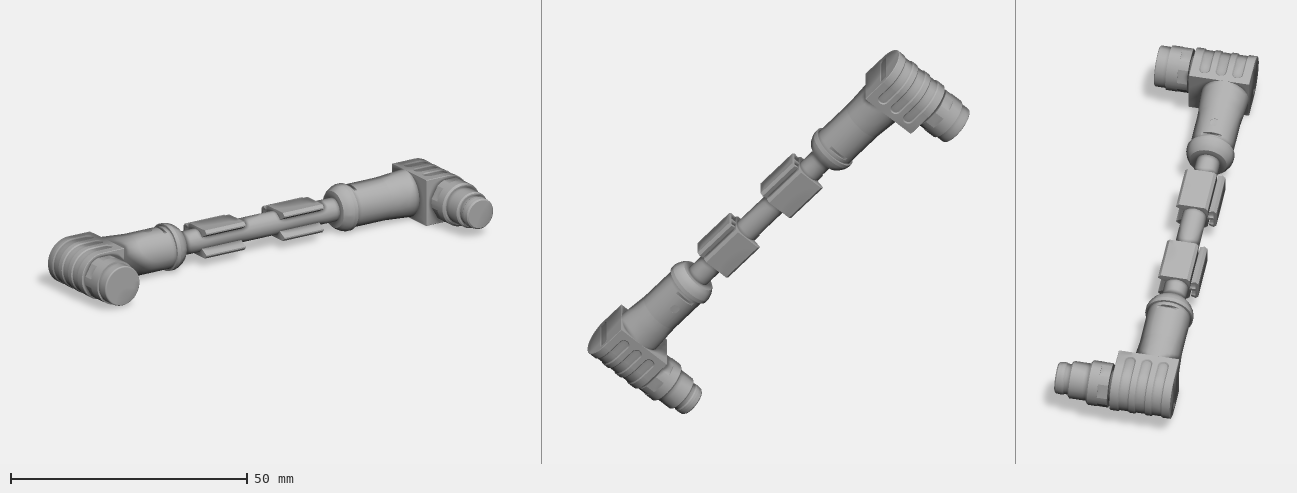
import cadquery as cq

overall_length = 98.6
cable_dia = 5.1
body_height = 10.3

body_radius = body_height / 2
half_length = overall_length / 2
axis_x = 5.2
plug_y = -(half_length - body_radius)

body_width = 13.0
body_depth = 10.7
body_chamfer = 0.1
body_inner_y = -(half_length - body_depth)

groove_count = 3
groove_pitch = 3.55
groove_first_x = 3.0
groove_width = 2.4
groove_depth = 0.25
groove_wall_angle = 45
groove_end_y = plug_y + 4.3

recess_width = 1.8
recess_height = 8.2
recess_depth = 0.3
recess_corner = 0.6
recess_y = plug_y

handle_dia = 9.3
handle_root_dia = body_height
collar_dia = body_height
collar_end_dia = 8.0
collar_bulge = 0.7
cone_end_y = -32.0
collar_start_y = -23.1
collar_edge_y = -22.2
handle_end_y = -20.0

notch_width = 0.7
notch_floor_z = 4.0
notch_y = -24.3

mark_dia = 2.0
mark_depth = 0.1
mark_y = -27.4

neck_dia = 6.5
nut_dia = 9.6
nut_across_flats = 9.1
nut_start_x = 13.6
nut_flats_end_x = 15.8
nut_end_x = 18.2
flat_count = 6

sleeve_dia = 8.8
sleeve_end_x = 20.8
sleeve_fillet = 0.3

nut_chamfer = 0.4
plug_base_dia = 8.0
plug_base_end_x = 22.3
plug_base_chamfer = 0.3
plug_rib_dia = 6.9
plug_tip_dia = 6.7
plug_end_x = 25.2
plug_rib_start_x = 23.2
plug_rib_width = 0.6
plug_rib_slope = 0.3
plug_tip_chamfer = 0.3

clip_length = 10.1
clip_gap = 9.9
clip_half_height = 3.2
clip_bevel = 0.6
clip_left_x = 0.5
clip_right_x = 9.2
clip_hook_x = 2.1
clip_hook_drop = 0.4
clip_hook_thickness = 0.4
clip_stem_half_height = 0.3
clip_plate_x = 2.4
clip_lip_z = 2.3
clip_mouth_x = 7.1
clip_mouth_z = 1.1


def plug_turned(points):
    """Solid turned about the plug axis; points are (x, radius)."""
    outline = [(points[0][0], 0)] + points + [(points[-1][0], 0)]
    return (
        cq.Workplane("XY", origin=(0, plug_y, 0))
        .polyline(outline)
        .close()
        .revolve(360, (0, 0), (1, 0))
    )


def make_body():
    body = (
        cq.Workplane("YZ")
        .moveTo(body_inner_y, body_radius)
        .lineTo(plug_y, body_radius)
        .threePointArc((-half_length, 0), (plug_y, -body_radius))
        .lineTo(body_inner_y, -body_radius)
        .close()
        .extrude(body_width)
    )
    end_edges = body.faces("<X or >X").edges("not >Y")
    return end_edges.chamfer(body_chamfer)


def groove_cutter(x):
    """Groove with sloped walls around the round end, with a rounded end on each flat side."""
    top_half = groove_width / 2
    floor_half = top_half - groove_depth
    floor_radius = body_radius - groove_depth
    wrap = (
        cq.Workplane("XY", origin=(0, plug_y, 0))
        .polyline([
            (x - top_half, -body_radius),
            (x - floor_half, -floor_radius),
            (x + floor_half, -floor_radius),
            (x + top_half, -body_radius),
        ])
        .close()
        .revolve(180, (0, 0), (1, 0))
    )
    wrap = wrap.rotate((0, plug_y, 0), (1, plug_y, 0), -90)
    slot_start_y = plug_y - top_half
    slot_length = groove_end_y - slot_start_y
    slot = (
        cq.Workplane("XY", origin=(x, slot_start_y + slot_length / 2, body_radius))
        .slot2D(slot_length, groove_width, 90)
        .extrude(-groove_depth, taper=groove_wall_angle)
    )
    return wrap.union(slot).union(slot.mirror("XY"))


def face_recess():
    return (
        cq.Workplane("YZ", origin=(0, recess_y, 0))
        .rect(recess_width, recess_height)
        .extrude(recess_depth)
        .edges("|X and >Y")
        .fillet(recess_corner)
    )


def make_handle():
    shoulder_radius = collar_dia / 2
    end_radius = collar_end_dia / 2
    bulge = (
        axis_x + end_radius + collar_bulge * (shoulder_radius - end_radius),
        (collar_edge_y + handle_end_y) / 2,
    )
    handle = (
        cq.Workplane("XY")
        .moveTo(axis_x, body_inner_y)
        .lineTo(axis_x + handle_root_dia / 2, body_inner_y)
        .lineTo(axis_x + handle_dia / 2, cone_end_y)
        .lineTo(axis_x + handle_dia / 2, collar_start_y)
        .lineTo(axis_x + shoulder_radius, collar_start_y)
        .lineTo(axis_x + shoulder_radius, collar_edge_y)
        .threePointArc(bulge, (axis_x + end_radius, handle_end_y))
        .lineTo(axis_x, handle_end_y)
        .close()
        .revolve(360, (axis_x, 0), (axis_x, 1))
    )
    notch = (
        cq.Workplane("XY", origin=(axis_x, notch_y, notch_floor_z))
        .rect(handle_dia, notch_width)
        .extrude(handle_dia / 2 - notch_floor_z)
    )
    handle = handle.cut(notch).cut(notch.mirror("XY"))
    mark = (
        cq.Workplane("XY", origin=(axis_x, mark_y, handle_dia / 2 - mark_depth))
        .circle(mark_dia / 2)
        .extrude(mark_depth)
    )
    return handle.cut(mark)


def make_housing():
    body = make_body()
    for index in range(groove_count):
        body = body.cut(groove_cutter(groove_first_x + index * groove_pitch))
    return body.cut(face_recess()).union(make_handle())


def make_nut():
    """Neck and nut on the plug axis; six flats are cut into the rear part."""
    nut_radius = nut_dia / 2
    nut = plug_turned([(nut_start_x, nut_radius), (nut_end_x, nut_radius)])
    flats_length = nut_flats_end_x - nut_start_x
    for index in range(flat_count):
        flat = (
            cq.Workplane("XY", origin=(nut_start_x, plug_y, nut_across_flats / 2))
            .rect(2 * flats_length, nut_dia)
            .extrude(nut_dia)
            .rotate((0, plug_y, 0), (1, plug_y, 0), index * 360 / flat_count)
        )
        nut = nut.cut(flat)
    neck = plug_turned([(body_width - body_chamfer, neck_dia / 2), (nut_start_x, neck_dia / 2)])
    return nut.union(neck)


def make_socket_end():
    sleeve = plug_turned([(nut_end_x, sleeve_dia / 2), (sleeve_end_x, sleeve_dia / 2)])
    return make_nut().union(sleeve.faces(">X").edges().fillet(sleeve_fillet))


def make_plug_end():
    base_radius = plug_base_dia / 2
    rib_top_x = plug_rib_start_x + plug_rib_slope
    plug = plug_turned([
        (nut_end_x, base_radius),
        (plug_base_end_x - plug_base_chamfer, base_radius),
        (plug_base_end_x, base_radius - plug_base_chamfer),
        (plug_base_end_x, neck_dia / 2),
        (plug_rib_start_x, neck_dia / 2),
        (rib_top_x, plug_rib_dia / 2),
        (rib_top_x + plug_rib_width, plug_rib_dia / 2),
        (plug_end_x - plug_tip_chamfer, plug_tip_dia / 2),
        (plug_end_x, plug_tip_dia / 2 - plug_tip_chamfer),
    ])
    return make_nut().faces(">X").edges().chamfer(nut_chamfer).union(plug)


def make_clip():
    """Label carrier next to the cable middle, towards -Y; open to +X, symmetric about Z = 0.

    On the -X side a short stem carries a plate whose edges hook back towards the cable.
    """
    bevel_z = clip_half_height - clip_bevel
    hook_z = bevel_z - clip_hook_drop
    upper = [
        (clip_left_x, bevel_z - clip_bevel),
        (clip_left_x + clip_bevel, bevel_z),
        (clip_hook_x, hook_z),
        (clip_hook_x, hook_z - clip_hook_thickness),
        (clip_left_x + clip_bevel, hook_z - clip_hook_thickness),
        (clip_left_x + clip_bevel, clip_stem_half_height),
        (clip_plate_x, clip_stem_half_height),
        (clip_plate_x, bevel_z),
        (clip_plate_x + clip_bevel, clip_half_height),
        (clip_right_x - clip_bevel, clip_half_height),
        (clip_right_x, bevel_z),
        (clip_right_x, clip_lip_z),
        (clip_mouth_x, clip_mouth_z),
    ]
    lower = [(x, -z) for x, z in reversed(upper)]
    return (
        cq.Workplane("XZ", origin=(0, -clip_gap / 2, 0))
        .polyline(upper + lower)
        .close()
        .extrude(clip_length)
    )


def turned_over(shape):
    """Shape turned half a turn about X, from the -Y end to the +Y end."""
    return shape.rotate((0, 0, 0), (1, 0, 0), 180)


housing = make_housing()
clip = make_clip()
cable = (
    cq.Workplane("XZ", origin=(axis_x, -handle_end_y, 0))
    .circle(cable_dia / 2)
    .extrude(-2 * handle_end_y)
)

result = (
    cable
    .union(clip)
    .union(turned_over(clip))
    .union(housing)
    .union(make_socket_end())
    .union(turned_over(housing))
    .union(turned_over(make_plug_end()))
)